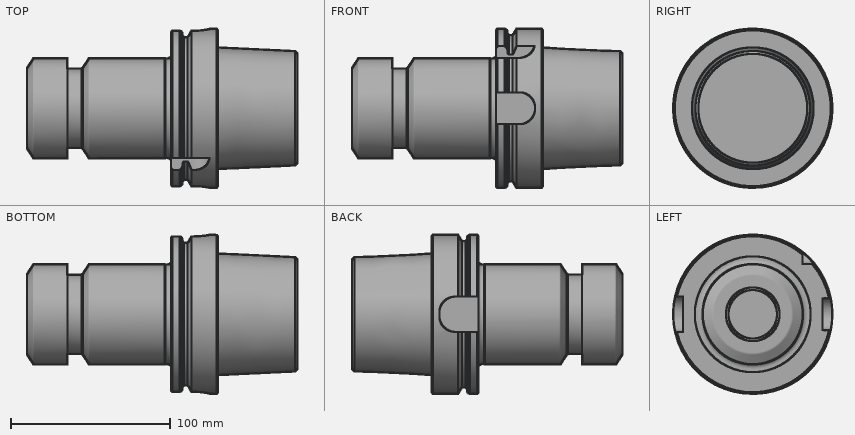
import cadquery as cq
import math

total_length = 170.0

nose_radius = 63.0 / 2
nose_face_radius = 25.0
nose_chamfer_length = 4.2
nose_edge_round = 2.2
shoulder_edge_round = 1.0
nose_end = 25.5
neck_radius = 50.0 / 2
neck_end = 34.3
neck_shoulder_x = 35.2
neck_shoulder_radius = 25.5
body_start = 39.1
body_end = 86.5
relief_start = 87.0
face_fillet_start = 88.2
relief_radius = 62.7 / 2

flange_start = 90.5
flange_end = 120.0
flange_radius = 100.0 / 2
flange_chamfer = 1.0
recess_radius = 36.4
recess_depth = 0.8
groove_floor_radius = 46.0
groove_lip_start = 95.9
groove_lip_end = 96.9
groove_lip_drop = 0.5
groove_wall_left = 97.8
groove_wall_right = 101.7
groove_left_wall_top = 48.3
groove_corner = 0.8
groove_end = 103.4

shank_large_radius = 38.2
shank_small_radius = 35.9
shank_chamfer = 1.7

edge_tolerance = 0.2

bore_radius = 16.8
bore_depth = 7.3
bore_groove_radius = 18.4
bore_groove_end = 10.7
inner_bore_radius = 30.5 / 2
inner_bore_depth = 42.5

cutter_radius = 10.0
cutter_center_x = 105.0
slot_floor_y = 43.7
front_slot_width = 2 * cutter_radius
back_slot_width = 22.1
notch_floor_y = 31.3
notch_floor_z = 31.6


def make_turned_body():
    fillet_radius = flange_start + recess_depth - face_fillet_start
    fillet_mid_x = face_fillet_start + fillet_radius * math.sin(math.pi / 4)
    fillet_mid_r = relief_radius + fillet_radius * (1 - math.cos(math.pi / 4))
    recess_floor = flange_start + recess_depth
    profile = (
        cq.Workplane("XY")
        .lineTo(0, nose_face_radius)
        .lineTo(nose_chamfer_length, nose_radius)
        .lineTo(nose_end, nose_radius)
        .lineTo(nose_end, neck_radius)
        .lineTo(neck_end, neck_radius)
        .lineTo(neck_shoulder_x, neck_shoulder_radius)
        .lineTo(body_start, nose_radius)
        .lineTo(body_end, nose_radius)
        .lineTo(relief_start, relief_radius)
        .lineTo(face_fillet_start, relief_radius)
        .threePointArc((fillet_mid_x, fillet_mid_r), (recess_floor, relief_radius + fillet_radius))
        .lineTo(recess_floor, recess_radius)
        .lineTo(flange_start, recess_radius)
        .lineTo(flange_start, flange_radius - flange_chamfer)
        .lineTo(flange_start + flange_chamfer, flange_radius)
        .lineTo(groove_lip_start, flange_radius)
        .lineTo(groove_lip_end, flange_radius - groove_lip_drop)
        .lineTo(groove_wall_left, groove_left_wall_top)
        .lineTo(groove_wall_left, groove_floor_radius + groove_corner)
        .lineTo(groove_wall_left + groove_corner, groove_floor_radius)
        .lineTo(groove_wall_right - groove_corner, groove_floor_radius)
        .lineTo(groove_wall_right, groove_floor_radius + groove_corner)
        .lineTo(groove_end, flange_radius)
        .lineTo(flange_end - flange_chamfer, flange_radius)
        .lineTo(flange_end, flange_radius - flange_chamfer)
        .lineTo(flange_end, shank_large_radius)
        .lineTo(total_length, shank_small_radius)
        .lineTo(total_length, 0)
        .close()
    )
    body = profile.revolve(360, (0, 0, 0), (1, 0, 0))
    body = body.faces(">X").edges().chamfer(shank_chamfer)
    body = body.faces("<X").edges().fillet(nose_edge_round)
    for edge_x in (nose_chamfer_length, body_start):
        low_corner = (edge_x - edge_tolerance, -edge_tolerance, -edge_tolerance)
        high_corner = (edge_x + edge_tolerance, edge_tolerance, edge_tolerance)
        edge = body.edges("%CIRCLE").edges(cq.selectors.BoxSelector(low_corner, high_corner))
        body = edge.fillet(shoulder_edge_round)
    return body


def make_bore():
    outer = cq.Workplane("YZ").circle(bore_radius).extrude(bore_depth)
    groove = cq.Workplane("YZ", origin=(bore_depth, 0, 0)).circle(bore_groove_radius)
    groove = groove.extrude(bore_groove_end - bore_depth)
    inner = cq.Workplane("YZ").circle(inner_bore_radius).extrude(inner_bore_depth)
    return outer.union(groove).union(inner)


def make_side_cut(side, floor_y, z_low, z_high, rounded_edges):
    """Pocket from the flange face, open outward on the given Y side, with rounded end corners."""
    start = flange_start
    end = cutter_center_x + cutter_radius
    depth = flange_radius - floor_y
    pocket = cq.Workplane("XY").box(end - start, depth, z_high - z_low, centered=False)
    pocket = pocket.edges(rounded_edges).fillet(cutter_radius)
    y_low = floor_y if side > 0 else -flange_radius
    return pocket.translate((start, y_low, z_low))


def make_round_end_slot():
    reach = cutter_center_x - flange_start
    depth = flange_radius - slot_floor_y
    straight = cq.Workplane("XY").box(reach, depth, front_slot_width, centered=(False, False, True))
    straight = straight.translate((flange_start, -flange_radius, 0))
    end = cq.Workplane("XZ", origin=(cutter_center_x, -slot_floor_y, 0)).circle(cutter_radius).extrude(depth)
    return straight.union(end)


front_slot = make_round_end_slot()
back_slot = make_side_cut(1, slot_floor_y, -back_slot_width / 2, back_slot_width / 2, "|Y and >X")
notch = make_side_cut(-1, notch_floor_y, notch_floor_z, flange_radius, "|Y and >X and <Z")

result = make_turned_body().cut(make_bore()).cut(front_slot).cut(back_slot).cut(notch)